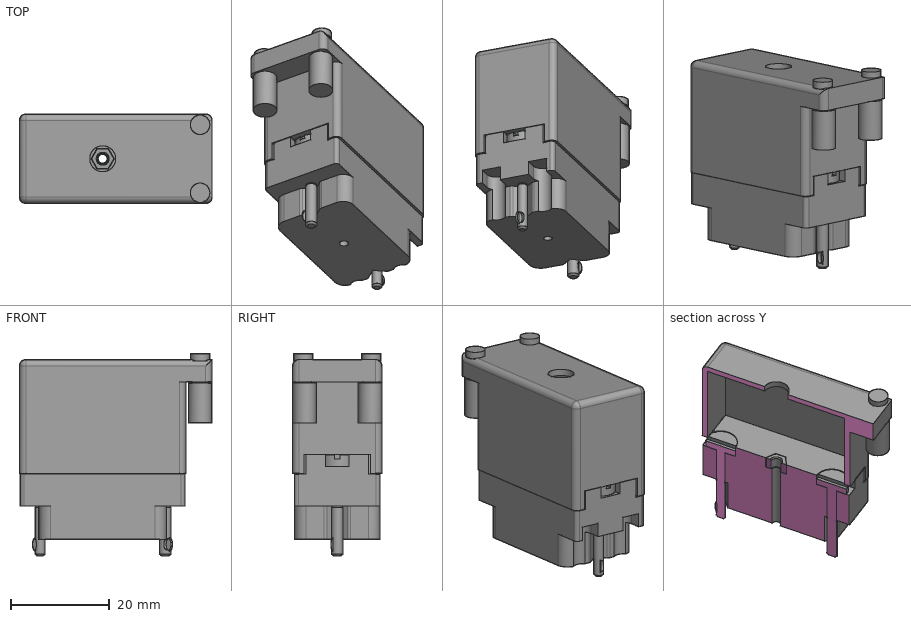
import cadquery as cq
import math


pin_chamfer = 0.4
plinth_bottom = 3.35
base_bottom = 10.1
shoulder_z = 16.6
housing_bottom = 16.75
window_floor = 18.2
base_top = 20.65
arm_bottom = 35.35
housing_top = 39.85
overall_height = 41.1

housing_length = 33.83
arm_length = 5.3
housing_width = 18.15
wall = 1.3
edge_radius = 1.3
access_hole_diameter = 5.25
notch_width = 13.4

base_inset_x = 0.15
base_inset_y = 0.35
base_radius = 0.82
tongue_width = 12.8
window_width = 4.75
plinth_length = 25.98
plinth_radius = 2.4
end_slot_width = 4.0
end_slot_y = 5.15
end_slot_top = 12.95
end_slot_reach = 2.4
vee_half_width = 2.35
vee_depth = 1.9
vee_edge_radius = 0.95

nut_flats = 3.9
nut_clearance = 0.15
nut_height = 2.45
nut_bore = 2.15
nut_bore_chamfer = 0.25
base_bore = 1.8

pin_x = 12.7
left_pin_radius = 1.03
right_pin_radius = 1.2
pin_shank_top = 9.85
pin_stem_inset = 0.12
pin_head_radius = 3.4
pin_head_top = 20.45
pin_head_slot_width = 1.05
pin_head_slot_depth = 0.82

tab_z = 2.35
tab_angle = 236
tab_plane = 0.45
tab_half_width = 0.58
tab_half_height = 1.15
tab_flare = 0.25
tab_thickness = 0.25
tab_inset = 0.1

screw_x = 19.75
screw_y = 6.9
screw_head_diameter = 3.95
screw_head_bottom = 39.6
screw_neck_diameter = 3.3
screw_barrel_diameter = 4.8
screw_barrel_y = 6.65
screw_barrel_bottom = 27.05
screw_barrel_top = 35.1

housing_left = -housing_length / 2
arm_right = housing_length / 2 + arm_length
cavity_length = housing_length - 2 * wall
cavity_width = housing_width - 2 * wall
base_length = housing_length - 2 * base_inset_x
base_width = housing_width - 2 * base_inset_y
plinth_end = plinth_length / 2
pin_kinds = [(-1, left_pin_radius), (1, right_pin_radius)]
screw_places = [(screw_x, -screw_y), (screw_x, screw_y)]


def block(x_min, x_max, width, z_min, z_max):
    """Box centred on Y = 0."""
    return (
        cq.Workplane("XY", origin=((x_min + x_max) / 2, 0, z_min))
        .rect(x_max - x_min, width)
        .extrude(z_max - z_min)
    )


def rod(x, y, radius, z_min, z_max):
    """Upright cylinder."""
    return cq.Workplane("XY", origin=(x, y, z_min)).circle(radius).extrude(z_max - z_min)


def hexagon(flats, z_min, z_max):
    """Upright hexagonal prism on the bore axis, with corners on the X axis."""
    across_corners = flats / math.cos(math.pi / 6)
    return cq.Workplane("XY", origin=(0, 0, z_min)).polygon(6, across_corners).extrude(z_max - z_min)


def make_housing():
    shell = block(housing_left, arm_right, housing_width, housing_bottom, housing_top)
    shell = shell.edges("(<X and |Z) or (>Z and (<X or >Y or <Y))").fillet(edge_radius)
    arm_part = block(housing_left, arm_right, housing_width, arm_bottom, housing_top)
    box_part = block(housing_left, -housing_left, housing_width, housing_bottom, housing_top)
    rounded_parts = [part.edges(">X and |Z").fillet(edge_radius) for part in (arm_part, box_part)]
    shell = shell.intersect(rounded_parts[0].union(rounded_parts[1]))

    cavity_top = housing_top - wall
    shell = shell.cut(block(-cavity_length / 2, cavity_length / 2, cavity_width, housing_bottom, cavity_top))
    shell = shell.cut(block(housing_left, -housing_left, notch_width, housing_bottom, base_top))
    shell = shell.cut(rod(0, 0, access_hole_diameter / 2, cavity_top, housing_top))
    for x, y in screw_places:
        shell = shell.cut(rod(x, y, screw_neck_diameter / 2, arm_bottom, housing_top))
        shell = shell.cut(rod(x, y, screw_head_diameter / 2, screw_head_bottom, housing_top))
    return shell


def make_plinth():
    """Rounded plinth with a vee notch around each pin."""
    plinth = block(-plinth_end, plinth_end, base_width, plinth_bottom, base_bottom)
    plinth = plinth.edges("|Z").fillet(plinth_radius)
    for side in (-1, 1):
        vee = (
            cq.Workplane("XY", origin=(0, 0, plinth_bottom))
            .polyline(
                [
                    (side * plinth_end, -vee_half_width),
                    (side * (plinth_end - vee_depth), 0),
                    (side * plinth_end, vee_half_width),
                ]
            )
            .close()
            .extrude(base_bottom - plinth_bottom)
        )
        plinth = plinth.cut(vee)
    for side in (-1, 1):
        for y in (-vee_half_width, vee_half_width):
            corner = cq.selectors.NearestToPointSelector(
                (side * plinth_end, y, (plinth_bottom + base_bottom) / 2)
            )
            plinth = plinth.edges("|Z").edges(corner).fillet(vee_edge_radius)
    return plinth


def end_slot(y):
    """Round-ended slot that opens through the left end of the base."""
    base_left = -base_length / 2
    round_x = base_left + end_slot_reach
    opening = (
        cq.Workplane("XY", origin=((base_left + round_x) / 2, y, plinth_bottom))
        .rect(end_slot_reach, end_slot_width)
        .extrude(end_slot_top - plinth_bottom)
    )
    return opening.union(rod(round_x, y, end_slot_width / 2, plinth_bottom, end_slot_top))


def make_base():
    half = base_length / 2
    base = block(-half, half, base_width, base_bottom, shoulder_z).edges("|Z").fillet(base_radius)
    base = base.union(block(-cavity_length / 2, cavity_length / 2, cavity_width, shoulder_z, base_top))
    base = base.union(block(-half, half, tongue_width, shoulder_z, base_top))
    base = base.union(make_plinth())
    for y in (-end_slot_y, end_slot_y):
        base = base.cut(end_slot(y))
    for side, radius in pin_kinds:
        window_ends = sorted((side * pin_x, side * half))
        base = base.cut(block(*window_ends, window_width, window_floor, base_top))
        base = base.cut(rod(side * pin_x, 0, pin_head_radius, window_floor, base_top))
        base = base.cut(rod(side * pin_x, 0, radius - pin_stem_inset, base_bottom, window_floor))
    base = base.cut(rod(0, 0, base_bore / 2, plinth_bottom, base_top))
    return base.cut(hexagon(nut_flats + nut_clearance, base_top - nut_height, base_top))


def make_nut():
    nut_bottom = base_top - nut_height
    nut = hexagon(nut_flats, nut_bottom, base_top).cut(rod(0, 0, nut_bore / 2, nut_bottom, base_top))
    return nut.faces(">Z").edges("%CIRCLE").chamfer(nut_bore_chamfer)


def tab_frustum(across, depth):
    """Flared elliptical frustum; its small face lies on the tab plane and it widens along depth."""
    angle = math.radians(tab_angle)
    normal = cq.Vector(math.cos(angle), math.sin(angle), 0)
    tangent = cq.Vector(-normal.y, normal.x, 0)
    plane = cq.Plane(normal * tab_plane + tangent * across + cq.Vector(0, 0, tab_z), tangent, normal)
    return (
        cq.Workplane(plane)
        .ellipse(tab_half_width, tab_half_height)
        .workplane(offset=depth)
        .ellipse(tab_half_width + tab_flare, tab_half_height + tab_flare)
        .loft()
    )


def make_pin(side, radius):
    pin = rod(0, 0, radius, 0, pin_shank_top).faces("<Z").chamfer(pin_chamfer)
    across = side * (radius - tab_inset)
    pin = pin.cut(tab_frustum(across, radius))
    pin = pin.union(tab_frustum(across, -tab_thickness))
    pin = pin.union(rod(0, 0, radius - pin_stem_inset, pin_shank_top, window_floor))
    pin = pin.union(rod(0, 0, pin_head_radius, window_floor, pin_head_top))
    slot_bottom = pin_head_top - pin_head_slot_depth
    pin = pin.cut(block(-pin_head_radius, pin_head_radius, pin_head_slot_width, slot_bottom, pin_head_top))
    return pin.translate((side * pin_x, 0, 0))


def make_screw(x, y):
    head = rod(x, y, screw_head_diameter / 2, screw_head_bottom, overall_height)
    neck = rod(x, y, screw_neck_diameter / 2, screw_barrel_top, screw_head_bottom)
    barrel_y = math.copysign(screw_barrel_y, y)
    barrel = rod(x, barrel_y, screw_barrel_diameter / 2, screw_barrel_bottom, screw_barrel_top)
    return head.union(neck).union(barrel)


housing = make_housing()
base = make_base()
nut = make_nut()
pins = [make_pin(side, radius) for side, radius in pin_kinds]
screws = [make_screw(x, y) for x, y in screw_places]

result = cq.Compound.makeCompound(
    [housing.val(), base.val(), nut.val(), *[pin.val() for pin in pins], *[screw.val() for screw in screws]]
)